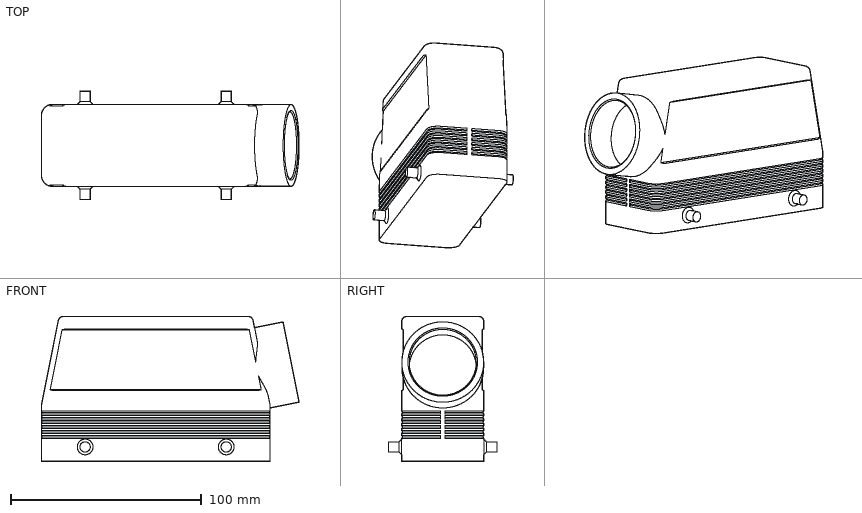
import cadquery as cq
import math

body_length = 120.0
body_width = 43.1
body_height = 76.0
bend_height = 29.5
lean_angle = 11.3
bend_radius = 6.1
corner_radius = 6.0
top_fillet = 2.7

half_length = body_length / 2
half_width = body_width / 2
lean = math.radians(lean_angle)
top_half_length = half_length - (body_height - bend_height) * math.tan(lean)

recess_depth = 0.8
recess_bottom = 37.0
recess_top = 69.5
recess_bevel = 0.5

groove_count = 6
groove_pitch = 2.6
groove_width = 1.6
groove_depth = 0.5
groove_bottom = 12.0
groove_rib_width = 2.6

pin_span = 57.0
pin_spacing = 74.0
pin_height = 7.6
pin_diameter = 5.4
collar_diameter = 8.2
collar_length = 1.4

nozzle_height = 49.1
nozzle_diameter = 43.0
nozzle_length = 15.3
bore_diameter = 35.2
bore_chamfer = 0.7
root_depth = 13.5
root_taper = 8.0

margin = 6.8


def make_body():
    profile = [
        (-half_length, 0),
        (half_length, 0),
        (half_length, bend_height),
        (top_half_length, body_height),
        (-top_half_length, body_height),
        (-half_length, bend_height),
    ]
    block = cq.Workplane("XZ").polyline(profile).close().extrude(half_width, both=True)
    bend_edges = cq.selectors.BoxSelector(
        (-body_length, -body_width, bend_height - margin),
        (body_length, body_width, bend_height + margin),
    )
    block = block.edges("|Y").edges(bend_edges).fillet(bend_radius)
    block = block.faces("<Y or >Y").edges("not #Z").fillet(corner_radius)
    return block.faces(">Z").edges().fillet(top_fillet)


def make_recess_cutter():
    """Cutter for the -Y side, running the full length of the body."""
    outer = -half_width - margin
    floor = -half_width + recess_depth
    flare = recess_bevel * (margin + recess_depth) / recess_depth
    section = [
        (outer, recess_bottom + recess_bevel - flare),
        (floor, recess_bottom + recess_bevel),
        (floor, recess_top - recess_bevel),
        (outer, recess_top - recess_bevel + flare),
    ]
    return cq.Workplane("YZ").polyline(section).close().extrude(half_length, both=True)


def make_groove_cutter():
    """One V-groove ring, with its lower edge at z = 0."""
    half_groove = groove_width / 2
    flank_angle = math.degrees(math.atan2(groove_depth, half_groove))
    outline = cq.Sketch().rect(body_length, body_width).vertices().fillet(corner_radius)
    lower = cq.Workplane("XY").placeSketch(outline).extrude(half_groove, taper=flank_angle)
    upper = lower.mirror("XY", (0, 0, half_groove))
    slab = cq.Workplane("XY").box(
        body_length + margin, body_width + margin, groove_width, centered=(True, True, False)
    )
    rib = cq.Workplane("XY").box(
        body_length + 2 * margin, groove_rib_width, groove_width, centered=(True, True, False)
    )
    return slab.cut(lower).cut(upper).cut(rib)


def make_pin(x):
    """A pin on the -Y side, with its collar."""
    collar_radius = collar_diameter / 2
    pin_radius = pin_diameter / 2
    section = [
        (0, half_width - collar_length),
        (collar_radius, half_width - collar_length),
        (collar_radius, half_width),
        (pin_radius, half_width + collar_length),
        (pin_radius, pin_span / 2),
        (0, pin_span / 2),
    ]
    pin = cq.Workplane("XY").polyline(section).close().revolve(360, (0, 0), (0, 1))
    return pin.mirror("XZ").translate((x, 0, pin_height))


wall_x = half_length - (nozzle_height - bend_height) * math.tan(lean)
nozzle_plane = cq.Plane(
    origin=(wall_x, 0, nozzle_height),
    xDir=(0, 1, 0),
    normal=(math.cos(lean), 0, math.sin(lean)),
)


def make_nozzle():
    tube = cq.Workplane(nozzle_plane).circle(nozzle_diameter / 2).extrude(nozzle_length)
    root = cq.Workplane(nozzle_plane).circle(nozzle_diameter / 2).extrude(-root_depth, taper=root_taper)
    return tube.union(root)


def make_bore():
    """Cutter for the bore, blind at the leaning wall and widening at the open rim."""
    bore_radius = bore_diameter / 2
    section = [
        (0, 0),
        (bore_radius, 0),
        (bore_radius, nozzle_length - bore_chamfer),
        (bore_radius + bore_chamfer, nozzle_length),
        (0, nozzle_length),
    ]
    bore = cq.Workplane("XZ").polyline(section).close().revolve(360, (0, 0), (0, 1))
    return cq.Workplane(bore.val().moved(cq.Location(nozzle_plane)))


result = make_body()

recess = make_recess_cutter()
result = result.cut(recess).cut(recess.mirror("XZ"))

groove = make_groove_cutter()
for index in range(groove_count):
    result = result.cut(groove.translate((0, 0, groove_bottom + index * groove_pitch)))

for x in (-pin_spacing / 2, pin_spacing / 2):
    pin = make_pin(x)
    result = result.union(pin).union(pin.mirror("XZ"))

result = result.union(make_nozzle()).cut(make_bore())